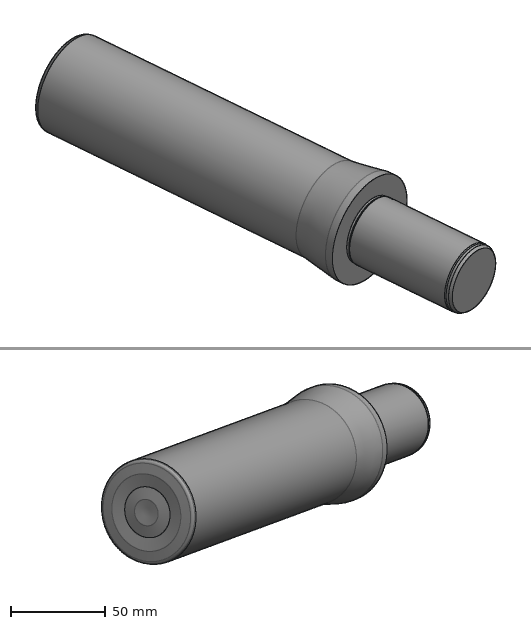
import cadquery as cq
import math

total_length = 276.0
body_diameter = 57.0
flange_diameter = 64.0
shank_diameter = 40.0
shank_relief_diameter = 39.5

body_length = 205.3
flange_rim_width = 4.7
flare_length = 22.5

front_relief_diameter = 56.5
front_taper_length = 0.8
front_round_radius = 1.7
ridge_radius = 21.0
ridge_height = 0.5
groove_radius = 13.8
groove_depth = 1.0
boss_radius = 7.2
boss_height = 1.0
center_dimple_depth = 0.8

relief_taper_length = 0.8
root_relief_length = 1.5
tip_relief_length = 3.3
tip_chamfer_length = 1.7
tip_chamfer_radial = 1.0

front_x = -total_length / 2
tip_x = total_length / 2
shoulder_x = front_x + body_length
rim_x = shoulder_x - flange_rim_width
flare_x = rim_x - flare_length


def revolve_about_x(outline):
    """Turn a closed half section about the X axis."""
    return outline.close().revolve(360, (0, 0, 0), (1, 0, 0))


def make_body():
    """Round body with a flared flange and shallow concentric cones on its front face."""
    body_radius = body_diameter / 2
    flange_radius = flange_diameter / 2
    face_edge_x = front_x + ridge_height
    relief_radius = front_relief_diameter / 2
    face_edge_radius = relief_radius - front_round_radius
    round_back_x = face_edge_x + front_round_radius
    round_mid_offset = front_round_radius * math.sqrt(0.5)
    round_middle = (round_back_x - round_mid_offset, face_edge_radius + round_mid_offset)
    groove_x = front_x + groove_depth
    boss_x = groove_x - boss_height
    dimple_x = boss_x + center_dimple_depth
    return revolve_about_x(
        cq.Workplane("XY")
        .moveTo(dimple_x, 0)
        .lineTo(boss_x, boss_radius)
        .lineTo(groove_x, groove_radius)
        .lineTo(front_x, ridge_radius)
        .lineTo(face_edge_x, face_edge_radius)
        .threePointArc(round_middle, (round_back_x, relief_radius))
        .lineTo(round_back_x + front_taper_length, body_radius)
        .lineTo(flare_x, body_radius)
        .lineTo(rim_x, flange_radius)
        .lineTo(shoulder_x, flange_radius)
        .lineTo(shoulder_x, 0)
    )


def make_shank():
    """Plain shank on the flange, slightly relieved at its root and its tip."""
    shank_radius = shank_diameter / 2
    relief_radius = shank_relief_diameter / 2
    root_x = shoulder_x + root_relief_length
    chamfer_x = tip_x - tip_chamfer_length
    relief_x = tip_x - tip_relief_length
    return revolve_about_x(cq.Workplane("XY").polyline([
        (shoulder_x, 0),
        (shoulder_x, relief_radius),
        (root_x, relief_radius),
        (root_x + relief_taper_length, shank_radius),
        (relief_x - relief_taper_length, shank_radius),
        (relief_x, relief_radius),
        (chamfer_x, relief_radius),
        (tip_x, relief_radius - tip_chamfer_radial),
        (tip_x, 0),
    ]))


body = make_body()
shank = make_shank()
result = cq.Compound.makeCompound([body.val(), shank.val()])